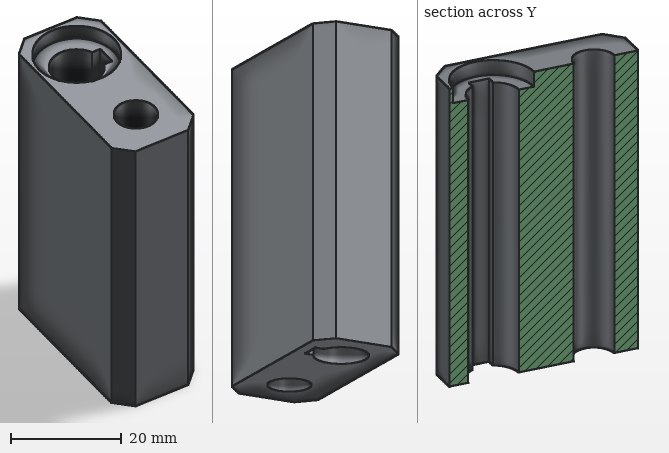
import cadquery as cq

width = 37.5
depth = 17.5
height = 60.0
corner_chamfer = 3.1

end_distance = depth / 2
bore_x = -width / 2 + end_distance
plain_hole_x = width / 2 - end_distance

bore_diameter = 10.0
recess_diameter = 16.0
recess_depth = 3.0
plain_hole_diameter = 8.0

keyway_width = 4.0
keyway_reach = 6.3


def vertical_cylinder(diameter, x, bottom, top):
    return (
        cq.Workplane("XY", origin=(x, 0, bottom))
        .circle(diameter / 2)
        .extrude(top - bottom)
    )


body = (
    cq.Workplane("XY")
    .box(width, depth, height, centered=(True, True, False))
    .edges("|Z")
    .chamfer(corner_chamfer)
)

main_bore = vertical_cylinder(bore_diameter, bore_x, 0, height)
recess = vertical_cylinder(recess_diameter, bore_x, height - recess_depth, height)
plain_hole = vertical_cylinder(plain_hole_diameter, plain_hole_x, 0, height)

keyway = (
    cq.Workplane("XY", origin=(bore_x, 0, 0))
    .box(keyway_width, keyway_reach, height, centered=(True, False, False))
)

result = body.cut(main_bore).cut(recess).cut(plain_hole).cut(keyway)